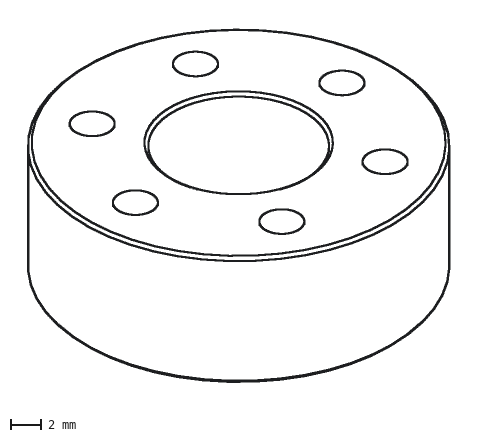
import cadquery as cq

outer_diameter = 28
height = 10.0
bore_diameter = 12.0
edge_chamfer = 0.25

hole_count = 6
hole_diameter = 3.0
hole_circle_diameter = 20.0
first_hole_angle = 90


def make_ring():
    """Plain ring with all four circular edges chamfered."""
    ring = cq.Workplane("XY").circle(outer_diameter / 2).circle(bore_diameter / 2).extrude(height)
    return ring.faces("<Z or >Z").edges().chamfer(edge_chamfer)


def make_holes():
    """Cylinders that cut the through holes."""
    return (
        cq.Workplane("XY")
        .polarArray(hole_circle_diameter / 2, first_hole_angle, 360, hole_count)
        .circle(hole_diameter / 2)
        .extrude(height)
    )


result = make_ring().cut(make_holes())